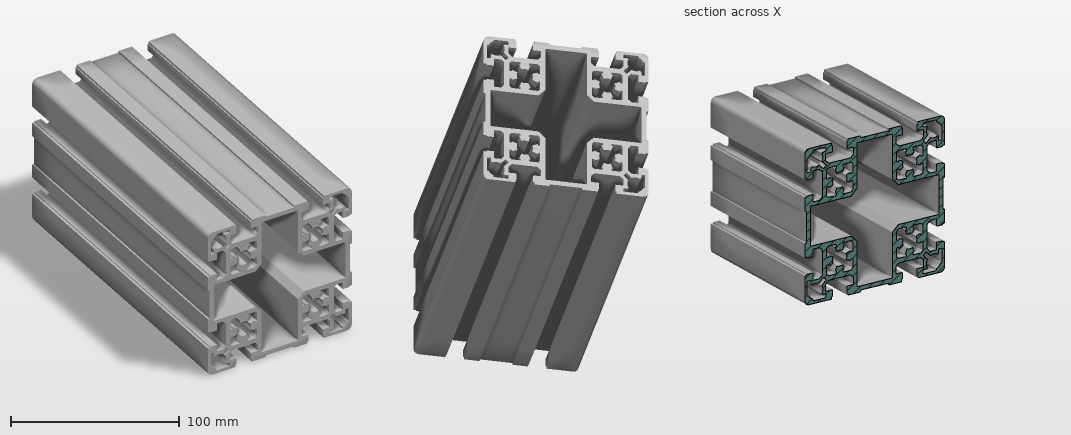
import cadquery as cq
import math

length = 200.0
side = 100.0
half_side = side / 2
corner_radius = 3.2


slot_center = 25.0
slot_opening = 10.0
mouth_step_width = 0.7
mouth_step_depth = 1.6
lip_depth = 6.2
slot_width = 19.6
slot_depth = 12.5
slot_floor_chamfer = 2.0

recess_start = 40.0
recess_depth = 1.2

cross_end_depth = 4.2
cross_arm_start = 37.4
cross_inner_chamfer = 4.2

core_width = 18.6
core_chamfer = 1.2
core_bore_radius = 4.9
lug_neck_width = 5.2
lug_barb_width = 7.0
lug_barb_distance = 7.9
lug_tip_width = 4.2

chamber_bore_center = 7.8
chamber_bore_radius = 5.0
chamber_arm_start = 6.1
chamber_arm_end = 15.2
chamber_wall = 2.0
chamber_arm_depth = 4.4
chamber_bevel_start = 12.8
chamber_bevel = 0.8
slit_width = 2.7
slit_end = 20.2


def section_plane():
    """Section plane at the -X end, with its origin at the -Y, -Z corner."""
    return cq.Workplane("YZ", origin=(-length / 2, -half_side, -half_side))


def prism(points):
    """Full-length prism over an outline given from the section's corner."""
    return section_plane().polyline(points).close().extrude(length)


def on_both_sides(points):
    """Prism over the outline, joined with its mirror image in the diagonal through the corner."""
    mirrored = [(v, u) for u, v in points]
    return prism(points).union(prism(mirrored))


def quarter_turns(solid, center):
    """The solid in its four quarter-turn positions about a line along X."""
    axis_start = (0, center, center)
    axis_end = (1, center, center)
    return [solid.rotate(axis_start, axis_end, 90 * turn) for turn in range(4)]


def t_slots():
    mouth = slot_opening / 2
    stepped_mouth = mouth + mouth_step_width
    undercut = slot_width / 2
    right_half = [
        (stepped_mouth, 0),
        (stepped_mouth, mouth_step_depth),
        (mouth, mouth_step_depth),
        (mouth, lip_depth),
        (undercut, lip_depth),
        (undercut, slot_depth - slot_floor_chamfer),
        (undercut - slot_floor_chamfer, slot_depth),
    ]
    left_half = [(-u, v) for u, v in reversed(right_half)]
    return on_both_sides([(slot_center + u, v) for u, v in right_half + left_half])


def side_recesses():
    recess_end = side - recess_start
    return on_both_sides(
        [(recess_start, 0), (recess_end, 0), (recess_end, recess_depth), (recess_start, recess_depth)]
    )


def screw_core():
    core_plane = section_plane().center(slot_center, slot_center)
    pocket = core_plane.rect(core_width, core_width).extrude(length).edges("|X").chamfer(core_chamfer)

    neck = lug_neck_width / 2
    barb = lug_barb_width / 2
    tip = lug_tip_width / 2
    tip_distance = math.sqrt(core_bore_radius**2 - tip**2)
    lug = (
        section_plane()
        .center(slot_center, slot_center)
        .moveTo(core_width / 2, -neck)
        .lineTo(lug_barb_distance, -neck)
        .lineTo(lug_barb_distance, -barb)
        .lineTo(tip_distance, -tip)
        .threePointArc((core_bore_radius, 0), (tip_distance, tip))
        .lineTo(lug_barb_distance, barb)
        .lineTo(lug_barb_distance, neck)
        .lineTo(core_width / 2, neck)
        .close()
        .extrude(length)
    )
    for turned_lug in quarter_turns(lug, slot_center - half_side):
        pocket = pocket.cut(turned_lug)
    return pocket


def corner_chamber():
    bore = (
        section_plane()
        .center(chamber_bore_center, chamber_bore_center)
        .circle(chamber_bore_radius)
        .extrude(length)
    )
    arms = on_both_sides(
        [
            (chamber_arm_start, chamber_wall),
            (chamber_arm_end, chamber_wall),
            (chamber_arm_end, chamber_arm_depth),
            (chamber_bevel_start, chamber_arm_depth),
            (chamber_bevel_start - chamber_bevel, chamber_arm_depth + chamber_bevel),
            (chamber_arm_start, chamber_arm_depth + chamber_bevel),
        ]
    )
    slit_start = chamber_bore_center * math.sqrt(2)
    slit = (
        section_plane()
        .transformed(rotate=(0, 0, 45))
        .center((slit_start + slit_end) / 2, 0)
        .rect(slit_end - slit_start, slit_width)
        .extrude(length)
    )
    return bore.union(arms).union(slit)


def cross_cavity():
    arm = half_side - cross_arm_start
    reach = half_side - cross_end_depth
    quarter = [
        (arm, reach),
        (arm, arm + cross_inner_chamfer),
        (arm + cross_inner_chamfer, arm),
        (reach, arm),
    ]
    outline = []
    for _ in range(4):
        outline += quarter
        quarter = [(v, -u) for u, v in quarter]
    return prism([(half_side + u, half_side + v) for u, v in outline])


def blank():
    center = section_plane().center(half_side, half_side)
    return center.rect(side, side).extrude(length).edges("|X").fillet(corner_radius)


corner_features = [t_slots(), side_recesses(), screw_core(), corner_chamber()]
result = blank().cut(cross_cavity())
for feature in corner_features:
    for turned_feature in quarter_turns(feature, 0):
        result = result.cut(turned_feature)